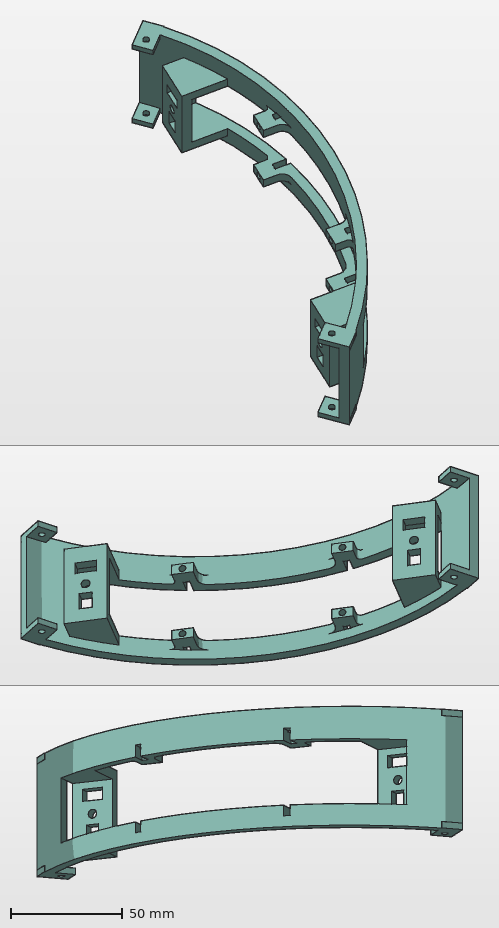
import cadquery as cq
import math

outer_radius = 150.0
wall_thickness = 15 / 3
inner_radius = outer_radius - wall_thickness
height = 55.0

root_radius = inner_radius + wall_thickness / 2

tab_length = 15.0
tab_width = 30 / 3
tab_thickness = 3.0
tab_hole_diameter = 3.0
tab_hole_inset = 30 / 3
tab_hole_distance = outer_radius - tab_hole_inset

window_bottom = 30 / 3
window_height = 30.0
window_top = window_bottom + window_height
ledge_height = 15 / 3
frame_bottom = window_bottom - ledge_height
frame_height = window_height + 2 * ledge_height
frame_middle = frame_bottom + frame_height / 2

block_face_distance = 106.0
block_width = 20.0
block_offset = 76.0
block_plate_thickness = 15 / 3
block_plate_back = block_face_distance + block_plate_thickness
window_width = 2 * block_offset + block_width

upper_slot_width = 30 / 3
upper_slot_height = 5.5
lower_slot_width = 6.0
lower_slot_height = 8.1
slot_spacing = 9.0
plate_hole_diameter = 4.0

bracket_face_distance = 130.4
bracket_width = 30 / 3
bracket_offset = 37.0
bracket_inner_fillet = 15 / 3
bracket_outer_fillet = 2.0
bracket_hole_diameter = 3.2
bracket_slot_width = 3.0
bracket_slot_start = 138.0
bracket_slot_height = 5.5


def radial_box(start, end, offset, width, bottom, box_height):
    box = cq.Workplane("XY").box(end - start, width, box_height, centered=(False, True, False))
    return box.translate((start, offset, bottom))


def radial_hole(start, end, offset, level, diameter):
    plane = cq.Workplane("YZ", origin=(start, offset, level))
    return plane.circle(diameter / 2).extrude(end - start)


def turn_to_middle(shape):
    return shape.rotate((0, 0, 0), (0, 0, 1), 45)


def make_wall():
    ring = cq.Workplane("XY").circle(outer_radius).circle(inner_radius).extrude(height)
    quadrant = cq.Workplane("XY").rect(outer_radius, outer_radius, centered=False).extrude(height)
    return ring.intersect(quadrant)


def make_tab(bottom):
    """Corner tab at the +Y end of the wall."""
    tab = (
        cq.Workplane("XY", origin=(0, outer_radius - tab_length, bottom))
        .rect(tab_width, tab_length, centered=False)
        .extrude(tab_thickness)
    )
    hole = (
        cq.Workplane("XY", origin=(tab_width / 2, tab_hole_distance, bottom))
        .circle(tab_hole_diameter / 2)
        .extrude(tab_thickness)
    )
    return tab.cut(hole)


def make_block(offset):
    """Block reaching the wall, with two slots and a hole in its front plate."""
    block = radial_box(block_face_distance, outer_radius, offset, block_width, frame_bottom, frame_height)
    root = cq.Workplane("XY").circle(root_radius).extrude(height)
    block = block.intersect(root)
    for slot_width, slot_height, level in (
        (upper_slot_width, upper_slot_height, frame_middle + slot_spacing),
        (lower_slot_width, lower_slot_height, frame_middle - slot_spacing),
    ):
        slot_bottom = level - slot_height / 2
        block = block.cut(
            radial_box(block_face_distance, block_plate_back, offset, slot_width, slot_bottom, slot_height)
        )
    return block.cut(
        radial_hole(block_face_distance, block_plate_back, offset, frame_middle, plate_hole_diameter)
    )


def fillet_points(side, direction, radius):
    """Start, middle and end of the fillet arc between a bracket side and the wall.

    The side lies at offset `side` and the fillet extends towards `direction` (+1 or -1) in Y.
    """
    centre_y = side + direction * radius
    centre_angle = math.asin(centre_y / (inner_radius - radius))
    centre_x = (inner_radius - radius) * math.cos(centre_angle)
    side_angle = -math.pi / 2 * direction
    middle_angle = (centre_angle + side_angle) / 2
    middle = (centre_x + radius * math.cos(middle_angle), centre_y + radius * math.sin(middle_angle))
    end = (inner_radius * math.cos(centre_angle), inner_radius * math.sin(centre_angle))
    return (centre_x, side), middle, end


def make_bracket(bottom):
    """Bracket on the +Y half of a ledge, blended into the wall on both sides."""
    inner_side = bracket_offset - bracket_width / 2
    outer_side = bracket_offset + bracket_width / 2
    inner_start, inner_middle, inner_end = fillet_points(inner_side, -1, bracket_inner_fillet)
    outer_start, outer_middle, outer_end = fillet_points(outer_side, 1, bracket_outer_fillet)
    root_scale = root_radius / inner_radius
    bracket = (
        cq.Workplane("XY", origin=(0, 0, bottom))
        .moveTo(bracket_face_distance, inner_side)
        .lineTo(*inner_start)
        .threePointArc(inner_middle, inner_end)
        .lineTo(inner_end[0] * root_scale, inner_end[1] * root_scale)
        .lineTo(outer_end[0] * root_scale, outer_end[1] * root_scale)
        .lineTo(*outer_end)
        .threePointArc(outer_middle, outer_start)
        .lineTo(bracket_face_distance, outer_side)
        .close()
        .extrude(ledge_height)
    )
    hole = radial_hole(
        bracket_face_distance,
        bracket_slot_start,
        bracket_offset,
        bottom + ledge_height / 2,
        bracket_hole_diameter,
    )
    return bracket.cut(hole)


def make_bracket_slot(bottom):
    """Slot behind a bracket, running out through the wall and just above the bracket's top."""
    return radial_box(
        bracket_slot_start,
        outer_radius,
        bracket_offset,
        bracket_slot_width,
        bottom,
        bracket_slot_height,
    )


result = make_wall()
for tab_bottom in (0, height - tab_thickness):
    tab = make_tab(tab_bottom)
    result = result.union(tab)
    result = result.union(tab.mirror("XZ").rotate((0, 0, 0), (0, 0, 1), 90))

for block_side in (-1, 1):
    result = result.union(turn_to_middle(make_block(block_side * block_offset)))
window = radial_box(block_plate_back, outer_radius, 0, window_width, window_bottom, window_height)
result = result.cut(turn_to_middle(window))

for ledge_bottom in (frame_bottom, window_top):
    bracket = make_bracket(ledge_bottom)
    slot = make_bracket_slot(ledge_bottom)
    for half_bracket in (bracket, bracket.mirror("XZ")):
        result = result.union(turn_to_middle(half_bracket))
    for half_slot in (slot, slot.mirror("XZ")):
        result = result.cut(turn_to_middle(half_slot))